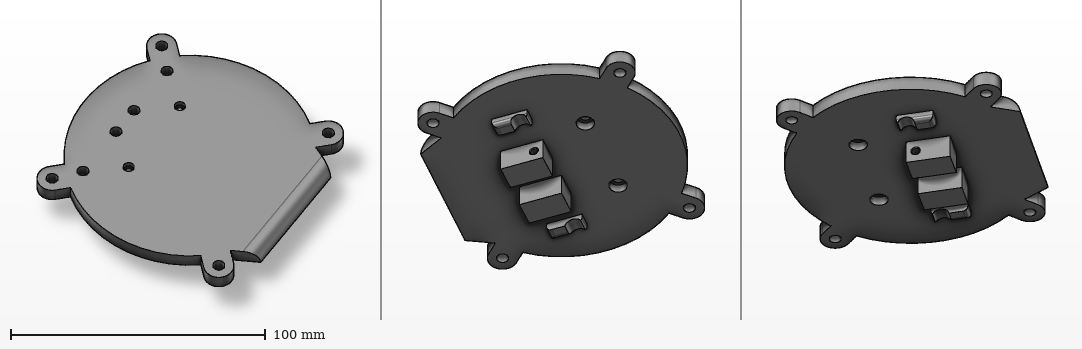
import cadquery as cq
import math

plate_thickness = 6.0
disc_radius = 49.5
plate_twist = 0.4

lug_radius = 5.95
lug_hole_diameter = 4.7
lug_reach = 55.2
LUG_ANGLES = (45, 135, 225, 315)

lip_face_x = 49.5
lip_face_half_width = 25.0
lip_root_x = 39.0
lip_root_half_width = 30.3
lip_round_radius = 6.2

blind_hole_diameter = 4.6
blind_hole_depth = 5.0
blind_hole_x = -30.7
blind_hole_offsets_y = (6.3, 29.7)
through_hole_diameter = 4.3
through_hole_x = -17.0
through_hole_offset_y = 18.0
counterbore_diameter = 7.1
counterbore_depth = 4.0

underside_start_x = 1.8
block_length = 17.7
block_inner_y = 5.0
block_width = 10.7
block_height = 10.1
bar_length = 14.8
bar_inner_y = 27.5
bar_width = 5.7
bar_height = 4.1
bar_round_radius = 2.0

screw_x = 5.6
screw_z = -5.1
screw_hole_diameter = 3.0
screw_mouth_diameter = 3.8
screw_hole_depth = 7.9
drill_tip_angle = 118.0
head_clearance_diameter = 7.1

cut_margin = 1.0
SIDES = (1, -1)


def make_plate():
    """Disc with four diagonal lugs and a rounded straight lip, resting on Z = 0."""
    plate = cq.Workplane("XY").circle(disc_radius).extrude(plate_thickness)

    lip = (
        cq.Workplane("XY")
        .polyline(
            [
                (0, 0),
                (lip_root_x, lip_root_half_width),
                (lip_face_x, lip_face_half_width),
                (lip_face_x, -lip_face_half_width),
                (lip_root_x, -lip_root_half_width),
            ]
        )
        .close()
        .extrude(plate_thickness)
    )
    plate = plate.union(lip)

    round_start_x = lip_face_x - lip_round_radius
    arc_middle = lip_round_radius * math.sqrt(0.5)
    corner_waste = (
        cq.Workplane("XZ")
        .moveTo(round_start_x, plate_thickness)
        .threePointArc(
            (round_start_x + arc_middle, plate_thickness - lip_round_radius + arc_middle),
            (lip_face_x, plate_thickness - lip_round_radius),
        )
        .lineTo(lip_face_x + cut_margin, 0)
        .lineTo(lip_face_x + cut_margin, plate_thickness)
        .close()
        .extrude(disc_radius, both=True)
    )
    plate = plate.cut(corner_waste)

    for angle in LUG_ANGLES:
        lug = (
            cq.Workplane("XY")
            .center(lug_reach / 2, 0)
            .rect(lug_reach, 2 * lug_radius)
            .extrude(plate_thickness)
            .union(cq.Workplane("XY").center(lug_reach, 0).circle(lug_radius).extrude(plate_thickness))
        )
        plate = plate.union(lug.rotate((0, 0, 0), (0, 0, 1), angle))

    plate = (
        plate.faces("<Z")
        .workplane(origin=(0, 0, 0))
        .polarArray(lug_reach, LUG_ANGLES[0], 360, len(LUG_ANGLES))
        .circle(lug_hole_diameter / 2)
        .cutThruAll()
    )
    return plate.rotate((0, 0, 0), (0, 0, 1), plate_twist)


def cut_plate_holes(body):
    """Cut the blind holes and the through holes counterbored from below."""
    blind_points = [(blind_hole_x, side * y) for side in SIDES for y in blind_hole_offsets_y]
    through_points = [(through_hole_x, side * through_hole_offset_y) for side in SIDES]
    top = cq.Workplane("XY", origin=(0, 0, plate_thickness))
    blind = top.pushPoints(blind_points).circle(blind_hole_diameter / 2).extrude(-blind_hole_depth)
    through = top.pushPoints(through_points).circle(through_hole_diameter / 2).extrude(-plate_thickness)
    counterbore = (
        cq.Workplane("XY")
        .pushPoints(through_points)
        .circle(counterbore_diameter / 2)
        .extrude(counterbore_depth)
    )
    return body.cut(blind).cut(through).cut(counterbore)


def make_block():
    """Rectangular block hanging from the plate on the +Y half."""
    block = cq.Workplane("XY").box(block_length, block_width, block_height, centered=False)
    return block.translate((underside_start_x, block_inner_y, -block_height))


def make_bar():
    """Low bar whose lower edges are rounded except on the side facing the block."""
    bar = cq.Workplane("XY").box(bar_length, bar_width, bar_height, centered=False)
    bar = bar.faces("<Z").edges("<X or >X or >Y").fillet(bar_round_radius)
    return bar.translate((underside_start_x, bar_inner_y, -bar_height))


def make_screw_hole():
    """Drilled hole from the outer side of a block with a bevelled mouth and a conical bottom."""
    radius = screw_hole_diameter / 2
    mouth_radius = screw_mouth_diameter / 2
    bevel = mouth_radius - radius
    tip_length = radius / math.tan(math.radians(drill_tip_angle / 2))
    block_outer_y = block_inner_y + block_width
    bottom_y = block_outer_y - screw_hole_depth
    return (
        cq.Workplane("XY")
        .polyline(
            [
                (0, block_outer_y),
                (mouth_radius, block_outer_y),
                (radius, block_outer_y - bevel),
                (radius, bottom_y),
                (0, bottom_y - tip_length),
            ]
        )
        .close()
        .revolve(360, (0, 0, 0), (0, 1, 0))
        .translate((screw_x, 0, screw_z))
    )


def make_head_clearance():
    """Round passage through the bar, in line with the screw hole."""
    return (
        cq.Workplane("XZ", origin=(screw_x, bar_inner_y + bar_width, screw_z))
        .circle(head_clearance_diameter / 2)
        .extrude(bar_width)
    )


mount = make_block().cut(make_screw_hole()).union(make_bar().cut(make_head_clearance()))

result = cut_plate_holes(make_plate()).union(mount).union(mount.mirror("XZ"))